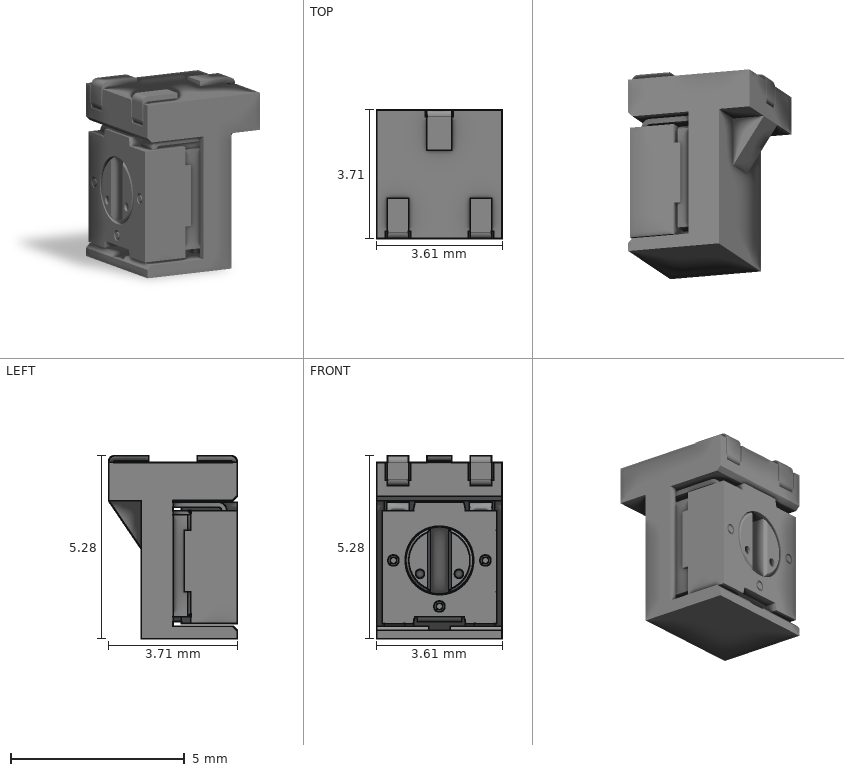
import cadquery as cq
import math

WIDTH = 3.61
DEPTH = 3.71
HEIGHT = 5.28

BLOCK_TOP = 5.085
BLOCK_BOTTOM = 3.985
WALL_FRONT = 1.85
WALL_REAR = 2.77
FLANGE_TOP = 0.37
LIP_CHAMFER = 0.125
GUSSET_FOOT = 2.6
GUSSET_WIDTH = 1.16
POCKET_HALF_WIDTH = 1.59
POCKET_DEPTH = 0.265
UPPER_PAD_HALF = 0.36
LOWER_PAD_HALF = 0.745
PAD_STEP = 0.255
FLANGE_GROOVE_WIDTH = 0.625

TERMINAL_LENGTH = 1.16
TERMINAL_THICKNESS = 0.155
TERMINAL_FOOT = 4.415
OUTER_BEND = 0.185
INNER_BEND = 0.05
TAIL_LENGTH = 0.42
FRONT_TERMINAL_WIDTH = 0.62
FRONT_TERMINAL_X = 1.195
REAR_TERMINAL_WIDTH = 0.725
FRONT_SLOT_GAP = 0.06
FRONT_SLOT_DEPTH = 0.215
REAR_SLOT_GAP = 0.04
REAR_SLOT_DEPTH = 0.2

CORE_HALF_WIDTH = 1.54
CORE_BOTTOM = 0.645
CORE_TOP = 3.695
CORE_SHOULDER = 3.575
CORE_CROWN_HALF_WIDTH = 1.375
CORE_ROUND = 0.115
CORE_CHAMFER = 0.09

COVER_HALF_WIDTH = 1.65
COVER_BOTTOM = 0.44
COVER_REAR = 1.335
TAB_REAR = 1.615
TAB_TOP = 3.94
TAB_HALF_WIDTH = 0.73
TAB_FLARE = 0.025
LOWER_TAB_HALF_WIDTH = 1.005
EAR_REAR = 1.525
EAR_BOTTOM = 1.355
EAR_TOP = 3.135

STRAP_THICKNESS = 0.15
STRAP_BEND_Y = 0.55
STRAP_INNER_BEND = 0.095
UPPER_STRAP_WIDTH = 0.655
LOWER_STRAP_WIDTH = 1.29
STRAP_END_INSET = 0.16

DIAL_Z = 2.26
DIAL_RADIUS = 0.965
DIAL_CLEARANCE = 0.02
DIAL_CHAMFER = 0.085
DIAL_DEPTH = 0.74
SLOT_WIDTH = 0.53
SLOT_DEPTH = 0.635
SLOT_CHAMFER = 0.075
DIMPLE_X = 0.56
DIMPLE_DROP = 0.385
DIMPLE_RADIUS = 0.125
DIMPLE_DEPTH = 0.21
MARK_CIRCLE = 1.325
MARK_OUTER_RADIUS = 0.16
MARK_INNER_RADIUS = 0.095
MARK_DEPTH = 0.035


def box(x_range, y_range, z_range):
    size = [high - low for low, high in (x_range, y_range, z_range)]
    corner = (x_range[0], y_range[0], z_range[0])
    return cq.Workplane("XY").box(*size, centered=False).translate(corner)


def centred(width, x=0.0):
    return (x - width / 2, x + width / 2)


def across(points, width):
    """Extrude a closed (y, z) polygon across the part, centred on the middle."""
    return cq.Workplane("YZ").polyline(points).close().extrude(width / 2, both=True)


def trapezoid(half_width, bottom, top, y_range):
    """Bar along Y whose section is slightly wider at the bottom than at the top."""
    wide = half_width + TAB_FLARE
    narrow = half_width - TAB_FLARE
    section = [(-wide, bottom), (wide, bottom), (narrow, top), (-narrow, top)]
    length = y_range[1] - y_range[0]
    return cq.Workplane("XZ", origin=(0, y_range[0], 0)).polyline(section).close().extrude(-length)


def front_disc(x, z, radius, depth):
    """Cylinder reaching from the dial face into the part."""
    return cq.Workplane("XZ").center(x, z).circle(radius).extrude(-depth)


def make_pad(half_width, bottom, top):
    """Pad on the pocket floor, flush with the wall, with a half-depth step on each side."""
    floor = WALL_FRONT + POCKET_DEPTH
    pad = box(centred(2 * half_width), (WALL_FRONT, floor), (bottom, top))
    step = box(centred(2 * (half_width + PAD_STEP)), (WALL_FRONT + POCKET_DEPTH / 2, floor), (bottom, top))
    return pad.union(step)


def make_housing():
    profile = [
        (0, 0),
        (WALL_REAR, 0),
        (WALL_REAR, BLOCK_BOTTOM),
        (DEPTH, BLOCK_BOTTOM),
        (DEPTH, BLOCK_TOP),
        (0, BLOCK_TOP),
        (0, BLOCK_BOTTOM + LIP_CHAMFER),
        (LIP_CHAMFER, BLOCK_BOTTOM),
        (WALL_FRONT, BLOCK_BOTTOM),
        (WALL_FRONT, FLANGE_TOP),
        (LIP_CHAMFER, FLANGE_TOP),
        (0, FLANGE_TOP - LIP_CHAMFER),
    ]
    gusset = [(WALL_REAR, GUSSET_FOOT), (DEPTH, BLOCK_BOTTOM), (WALL_REAR, BLOCK_BOTTOM)]
    housing = across(profile, WIDTH).union(across(gusset, GUSSET_WIDTH))

    pocket_floor = WALL_FRONT + POCKET_DEPTH
    pocket = box(centred(2 * POCKET_HALF_WIDTH), (WALL_FRONT, pocket_floor), (FLANGE_TOP, BLOCK_BOTTOM))
    groove = box(
        centred(FLANGE_GROOVE_WIDTH), (0, WALL_FRONT), (FLANGE_TOP - LIP_CHAMFER, FLANGE_TOP)
    )
    housing = housing.cut(pocket).cut(groove)

    lower_pad = make_pad(LOWER_PAD_HALF, FLANGE_TOP - LIP_CHAMFER, CORE_BOTTOM)
    upper_pad = make_pad(UPPER_PAD_HALF, CORE_TOP, BLOCK_BOTTOM)
    return housing.union(lower_pad).union(upper_pad)


def terminal_at_front(width, x):
    """Lead lying over the block, bent down the front face and back into the block."""
    tail = box(centred(width, x), (0, TAIL_LENGTH), (TERMINAL_FOOT, TERMINAL_FOOT + TERMINAL_THICKNESS))
    upright = box(centred(width, x), (0, TERMINAL_THICKNESS), (TERMINAL_FOOT, HEIGHT))
    plate = box(centred(width, x), (0, TERMINAL_LENGTH), (HEIGHT - TERMINAL_THICKNESS, HEIGHT))
    lead = tail.union(upright).union(plate).clean()
    lead = lead.edges("|X and <Y").fillet(OUTER_BEND)
    inner_corner = cq.selectors.NearestToPointSelector(
        (x, TERMINAL_THICKNESS, HEIGHT - TERMINAL_THICKNESS)
    )
    return lead.edges("|X").edges(inner_corner).fillet(INNER_BEND)


def fit_terminal(housing, width, x, side_gap, slot_depth, at_rear=False):
    """Cut the slot for one terminal and add the terminal, at the front or the rear face."""
    foot_top = TERMINAL_FOOT + TERMINAL_THICKNESS
    slot = box(centred(width + 2 * side_gap, x), (0, slot_depth), (foot_top, BLOCK_TOP))
    foot_recess = box(centred(width, x), (0, OUTER_BEND), (TERMINAL_FOOT, foot_top))
    cutter = slot.union(foot_recess)
    lead = terminal_at_front(width, x)
    if at_rear:
        cutter = cutter.mirror("XZ").translate((0, DEPTH, 0))
        lead = lead.mirror("XZ").translate((0, DEPTH, 0))
    return housing.cut(cutter).union(lead)


def make_core():
    """Block with chamfered front edges and a narrower, rounded crown on top."""
    y_range = (COVER_REAR, WALL_FRONT + POCKET_DEPTH)
    core = box(centred(2 * CORE_HALF_WIDTH), y_range, (CORE_BOTTOM, CORE_SHOULDER))
    core = core.faces("<Y").edges("not >Z").chamfer(CORE_CHAMFER)
    crown = box(centred(2 * CORE_CROWN_HALF_WIDTH), y_range, (CORE_SHOULDER, CORE_TOP))
    crown = crown.edges("|Y and >Z").fillet(CORE_ROUND)
    front_bevel = [
        (COVER_REAR, CORE_TOP),
        (COVER_REAR + CORE_CHAMFER, CORE_TOP),
        (COVER_REAR, CORE_TOP - CORE_CHAMFER),
    ]
    return core.union(crown.cut(across(front_bevel, 2 * CORE_CROWN_HALF_WIDTH)))


def make_strap(width, x=0.0):
    """Strap running forward over the core top and bending down into the cover."""
    top = TAB_TOP
    outer_bend = STRAP_INNER_BEND + STRAP_THICKNESS
    bend_z = top - outer_bend
    inner_y = STRAP_BEND_Y - STRAP_INNER_BEND
    outer_y = STRAP_BEND_Y - outer_bend
    end_z = bend_z - STRAP_END_INSET
    diagonal = math.sqrt(0.5)
    rear = WALL_FRONT + POCKET_DEPTH
    profile = (
        cq.Workplane("YZ")
        .moveTo(rear, top)
        .lineTo(STRAP_BEND_Y, top)
        .threePointArc(
            (STRAP_BEND_Y - outer_bend * diagonal, bend_z + outer_bend * diagonal), (outer_y, bend_z)
        )
        .lineTo(outer_y, end_z)
        .lineTo(inner_y, end_z)
        .lineTo(inner_y, bend_z)
        .threePointArc(
            (STRAP_BEND_Y - STRAP_INNER_BEND * diagonal, bend_z + STRAP_INNER_BEND * diagonal),
            (STRAP_BEND_Y, top - STRAP_THICKNESS),
        )
        .lineTo(rear, top - STRAP_THICKNESS)
        .close()
    )
    return profile.extrude(width / 2, both=True).translate((x, 0, 0))


def make_cover():
    cover = box(centred(2 * COVER_HALF_WIDTH), (0, COVER_REAR), (COVER_BOTTOM, CORE_TOP))
    cover = cover.union(trapezoid(TAB_HALF_WIDTH, CORE_TOP, TAB_TOP, (0, TAB_REAR)))
    lower_bar = trapezoid(LOWER_TAB_HALF_WIDTH, COVER_BOTTOM, CORE_BOTTOM, (COVER_REAR, TAB_REAR))
    notch = trapezoid(TAB_HALF_WIDTH, COVER_BOTTOM, CORE_BOTTOM, (0, TAB_REAR))
    cover = cover.union(lower_bar).cut(notch)
    ear_thickness = COVER_HALF_WIDTH - CORE_HALF_WIDTH
    for side in (-1, 1):
        ear_x = side * (COVER_HALF_WIDTH - ear_thickness / 2)
        cover = cover.union(
            box(centred(ear_thickness, ear_x), (COVER_REAR, EAR_REAR), (EAR_BOTTOM, EAR_TOP))
        )
    for x, z in ((-MARK_CIRCLE, DIAL_Z), (MARK_CIRCLE, DIAL_Z), (0, DIAL_Z - MARK_CIRCLE)):
        ring = front_disc(x, z, MARK_OUTER_RADIUS, MARK_DEPTH)
        cover = cover.cut(ring.cut(front_disc(x, z, MARK_INNER_RADIUS, MARK_DEPTH)))
    return cover.cut(front_disc(0, DIAL_Z, DIAL_RADIUS + DIAL_CLEARANCE, DIAL_DEPTH))


def make_dial():
    dial = front_disc(0, DIAL_Z, DIAL_RADIUS, DIAL_DEPTH).faces("<Y").chamfer(DIAL_CHAMFER)
    half = SLOT_WIDTH / 2
    slot_section = [
        (-half - SLOT_CHAMFER, 0),
        (half + SLOT_CHAMFER, 0),
        (half, SLOT_CHAMFER),
        (half, SLOT_DEPTH),
        (-half, SLOT_DEPTH),
        (-half, SLOT_CHAMFER),
    ]
    slot = (
        cq.Workplane("XY", origin=(0, 0, DIAL_Z))
        .polyline(slot_section)
        .close()
        .extrude(DIAL_RADIUS, both=True)
    )
    dial = dial.cut(slot)
    for side in (-1, 1):
        dial = dial.cut(front_disc(side * DIMPLE_X, DIAL_Z - DIMPLE_DROP, DIMPLE_RADIUS, DIMPLE_DEPTH))
    return dial


housing = make_housing()
for side in (-1, 1):
    terminal_x = side * FRONT_TERMINAL_X
    housing = fit_terminal(housing, FRONT_TERMINAL_WIDTH, terminal_x, FRONT_SLOT_GAP, FRONT_SLOT_DEPTH)
housing = fit_terminal(housing, REAR_TERMINAL_WIDTH, 0, REAR_SLOT_GAP, REAR_SLOT_DEPTH, at_rear=True)

result = housing.union(make_core()).union(make_cover()).union(make_dial())
for side in (-1, 1):
    result = result.union(make_strap(UPPER_STRAP_WIDTH, side * FRONT_TERMINAL_X))
lower_strap = make_strap(LOWER_STRAP_WIDTH).mirror("XY")
result = result.union(lower_strap.translate((0, 0, TAB_TOP + CORE_BOTTOM - STRAP_THICKNESS)))